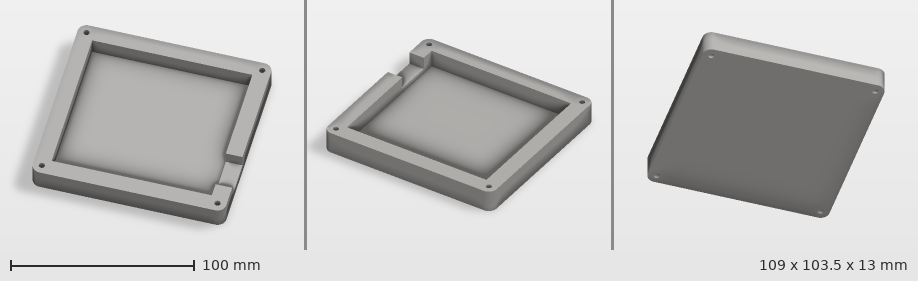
import cadquery as cq

length = 109.0
width = 103.5
height = 13.0
corner_radius = 5.0

wall = 9.4
pocket_depth = 10.4
pocket_length = length - 2 * wall
pocket_width = width - 2 * wall

notch_depth = 7.4
notch_width = 21.6
notch_offset = 17.2
notch_center_y = -width / 2 + notch_offset + notch_width / 2

sleeve_diameter = 6.0
bore_diameter = 3.4
sleeve_x = length / 2 - corner_radius
sleeve_y = width / 2 - corner_radius
sleeve_centers = [(sx * sleeve_x, sy * sleeve_y) for sx in (-1, 1) for sy in (-1, 1)]


def make_tray():
    """Rounded block with a pocket, a wall notch and four sleeve holes."""
    block = cq.Workplane("XY").rect(length, width).extrude(height).edges("|Z").fillet(corner_radius)
    top = cq.Workplane("XY").workplane(offset=height)
    pocket = top.rect(pocket_length, pocket_width).extrude(-pocket_depth)
    notch = top.center(length / 2 - wall / 2, notch_center_y).rect(wall, notch_width).extrude(-notch_depth)
    holes = cq.Workplane("XY").pushPoints(sleeve_centers).circle(sleeve_diameter / 2).extrude(height)
    return block.cut(pocket).cut(notch).cut(holes)


def make_sleeve(center):
    """Plain tube through the full height of the tray."""
    x, y = center
    return (
        cq.Workplane("XY")
        .center(x, y)
        .circle(sleeve_diameter / 2)
        .circle(bore_diameter / 2)
        .extrude(height)
    )


tray = make_tray()
sleeves = [make_sleeve(center).val() for center in sleeve_centers]

result = cq.Compound.makeCompound([tray.val(), *sleeves])